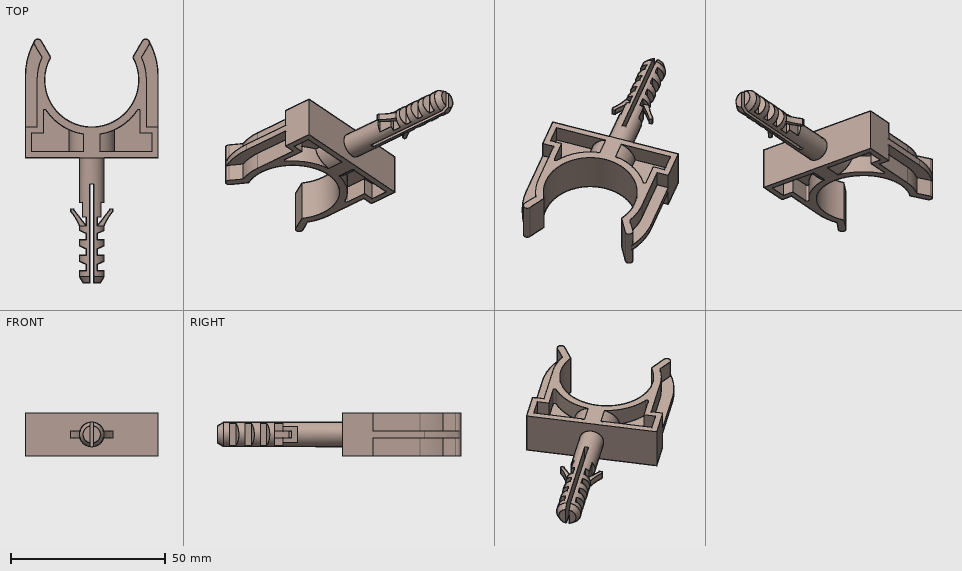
import cadquery as cq
import math


height = 14.0
base_width = 43.0
bore_radius = 15.2
ring_wall = 2.5
base_depth = 10.0
base_wall = 2.0
web_thickness = 2.2
lip_angle = 29.0
lip_flare = 30.0
lip_top = 13.3
fin_straight_top = 1.4
pocket_gap = 5.4
pocket_corner_radius = 0.5
boss_radius = 7.5

anchor_radius = 4.0
anchor_length = 40.5
slot_width = 1.2
slot_start = 8.5
tip_chamfer_length = 2.0
tip_chamfer_width = 1.2
neck_start = 14.5
neck_end = 19.2
neck_half_width = 3.0
core_half_width = 1.8
barb_root = 22.0
notch_start = 23.5
notch_ramp = 1.0
notch_length = 3.0
notch_pitch = 5.0
notch_count = 3
barb_span = 13.7
barb_top = 16.5
barb_end_width = 1.1
barb_end_height = 0.8
barb_bow = 0.25

half_width = base_width / 2
ring_radius = bore_radius + ring_wall
wall_middle_radius = bore_radius + ring_wall / 2
shoulder_y = -bore_radius
base_y = shoulder_y - base_depth
cutter_reach = anchor_radius + 1.0


def extrude_symmetric(profile, thickness):
    """Extrude an XY outline to a given thickness centred on Z = 0."""
    return profile.extrude(thickness).translate((0, 0, -thickness / 2))


def with_mirror(solid):
    """Join a right-hand solid with its left-hand copy."""
    return solid.union(solid.mirror("YZ"))


def polar(radius, degrees, center=(0, 0)):
    angle = math.radians(degrees)
    return (center[0] + radius * math.cos(angle), center[1] + radius * math.sin(angle))


lip_radius = ring_wall / 2
lip_root = polar(bore_radius, lip_angle)
lip_outer_root = (math.sqrt(ring_radius**2 - lip_root[1] ** 2), lip_root[1])
lip_center_y = lip_top - lip_radius
lip_center_x = (
    lip_root[0]
    + (lip_center_y - lip_root[1]) * math.tan(math.radians(lip_flare))
    + lip_radius / math.cos(math.radians(lip_flare))
)
lip_center = (lip_center_x, lip_center_y)
lip_inner_end = polar(lip_radius, 180 - lip_flare, lip_center)
lip_crest = polar(lip_radius, 90 - lip_flare, lip_center)
lip_outer_end = polar(lip_radius, -lip_flare, lip_center)
fin_end = polar(lip_radius, lip_flare, lip_center)


def mirrored(point):
    return (-point[0], point[1])


def make_saddle():
    """Base block, ring, arms and lips, full height."""
    arm_bulge = polar(ring_radius, lip_angle / 2)
    outline = (
        cq.Workplane("XY")
        .moveTo(-half_width, base_y)
        .lineTo(half_width, base_y)
        .lineTo(half_width, shoulder_y)
        .lineTo(ring_radius, shoulder_y)
        .lineTo(ring_radius, 0)
        .threePointArc(arm_bulge, lip_outer_root)
        .lineTo(*lip_outer_end)
        .threePointArc(lip_crest, lip_inner_end)
        .lineTo(*lip_root)
        .threePointArc((0, -bore_radius), mirrored(lip_root))
        .lineTo(*mirrored(lip_inner_end))
        .threePointArc(mirrored(lip_crest), mirrored(lip_outer_end))
        .lineTo(*mirrored(lip_outer_root))
        .threePointArc(mirrored(arm_bulge), (-ring_radius, 0))
        .lineTo(-ring_radius, shoulder_y)
        .lineTo(-half_width, shoulder_y)
        .close()
    )
    return extrude_symmetric(outline, height)


def make_fin():
    """Thin stiffening fin along the outside of the right arm."""
    outline = (
        cq.Workplane("XY")
        .moveTo(wall_middle_radius, shoulder_y)
        .lineTo(half_width, shoulder_y)
        .lineTo(half_width, fin_straight_top)
        .tangentArcPoint(fin_end, relative=False)
        .lineTo(*lip_center)
        .lineTo(*polar(wall_middle_radius, lip_angle))
        .lineTo(wall_middle_radius, 0)
        .close()
    )
    return extrude_symmetric(outline, web_thickness)


def make_pocket():
    """Right pocket, open at both faces and divided by the web and the boss."""
    gap_x = pocket_gap / 2
    floor_y = base_y + base_wall
    step_y = shoulder_y - base_wall
    side_x = half_width - base_wall
    arm_x = ring_radius - base_wall
    r = pocket_corner_radius
    corner_x = arm_x - r
    corner_y = -math.sqrt((ring_radius + r) ** 2 - corner_x**2)
    corner_scale = ring_radius / (ring_radius + r)
    corner_start = (corner_x * corner_scale, corner_y * corner_scale)
    ring_middle_x = (corner_start[0] + gap_x) / 2
    ring_middle = (ring_middle_x, -math.sqrt(ring_radius**2 - ring_middle_x**2))
    ring_start = (gap_x, -math.sqrt(ring_radius**2 - gap_x**2))
    outline = (
        cq.Workplane("XY")
        .moveTo(gap_x, floor_y)
        .lineTo(side_x, floor_y)
        .lineTo(side_x, step_y)
        .lineTo(arm_x, step_y)
        .lineTo(arm_x, corner_y)
        .threePointArc((corner_x, corner_y + r), corner_start)
        .threePointArc(ring_middle, ring_start)
        .close()
    )
    boss = cq.Workplane("XZ").circle(boss_radius).extrude(-base_y)
    web = cq.Workplane("XY").box(base_width, -2 * base_y, web_thickness)
    return extrude_symmetric(outline, height).cut(boss).cut(web)


def make_anchor_core():
    """Round anchor shank with a conical tip, along -Y from the base."""
    cone_start = anchor_length - tip_chamfer_length
    outline = (
        cq.Workplane("XY")
        .moveTo(0, base_y + base_wall)
        .lineTo(anchor_radius, base_y + base_wall)
        .lineTo(anchor_radius, base_y - cone_start)
        .lineTo(anchor_radius - tip_chamfer_width, base_y - anchor_length)
        .lineTo(0, base_y - anchor_length)
        .close()
    )
    return outline.revolve(360, (0, 0, 0), (0, 1, 0))


def side_cut(stations):
    """Cutter for both sides from (half width, station) points."""
    points = [(x, base_y - station) for x, station in stations]
    return with_mirror(extrude_symmetric(cq.Workplane("XY").polyline(points).close(), height))


def cut_neck_and_notches(shank):
    """Flatten the neck and cut the saw-tooth notches on both sides."""
    neck = [
        (cutter_reach, neck_start),
        (neck_half_width, neck_start),
        (neck_half_width, neck_end),
        (core_half_width, neck_end),
        (core_half_width, barb_root),
        (cutter_reach, barb_root),
    ]
    shank = shank.cut(side_cut(neck))
    ramp_slope = notch_ramp / (anchor_radius - core_half_width)
    for index in range(notch_count):
        start = notch_start + index * notch_pitch
        end = start + notch_length
        notch = [
            (cutter_reach, start - ramp_slope * (cutter_reach - anchor_radius)),
            (core_half_width, start + notch_ramp),
            (core_half_width, end),
            (cutter_reach, end),
        ]
        shank = shank.cut(side_cut(notch))
    return shank


def make_slot():
    length = anchor_length - slot_start
    center_y = base_y - slot_start - length / 2
    return cq.Workplane("XY").box(slot_width, length, height).translate((0, center_y, 0))


def make_barb():
    """Right expansion barb, leaning back towards the base."""
    tip_x = barb_span / 2
    top_y = base_y - barb_top
    end_y = top_y - barb_end_height
    root_y = base_y - barb_root
    bow_point = ((tip_x + anchor_radius) / 2 - barb_bow, (end_y + root_y) / 2)
    outline = (
        cq.Workplane("XY")
        .moveTo(core_half_width, root_y)
        .lineTo(tip_x - barb_end_width, end_y + barb_end_height / 2)
        .lineTo(tip_x - barb_end_width, top_y)
        .lineTo(tip_x, top_y)
        .lineTo(tip_x, end_y)
        .threePointArc(bow_point, (anchor_radius, root_y))
        .close()
    )
    return extrude_symmetric(outline, web_thickness)


clip = make_saddle().union(with_mirror(make_fin())).cut(with_mirror(make_pocket()))
anchor = cut_neck_and_notches(make_anchor_core()).union(with_mirror(make_barb())).cut(make_slot())
result = clip.union(anchor)